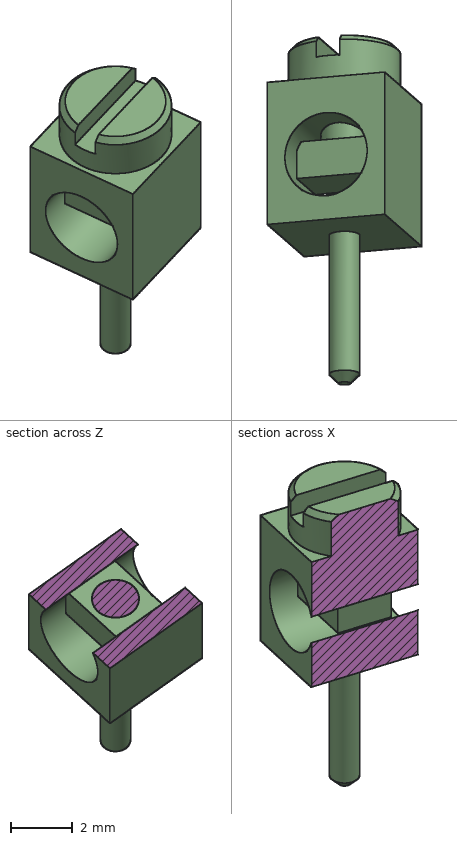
import cadquery as cq

total_height = 11.3
block_side = 4.0
block_height = 4.8
pin_length = 5.0
pin_diameter = 1.0
pin_tip_chamfer = 0.3
head_diameter = 3.65
head_chamfer = 0.19
slot_width = 0.79
slot_depth = 0.72
wire_hole_diameter = 2.8
wire_hole_height = 2.2
screw_diameter = 1.54
plate_width = 2.62
plate_depth = block_side / 2
plate_thickness = 1.23
plate_bottom_height = 1.76

block_bottom = pin_length
block_top = block_bottom + block_height
head_height = total_height - block_top
wire_hole_level = block_bottom + wire_hole_height
plate_bottom = block_bottom + plate_bottom_height
plate_top = plate_bottom + plate_thickness


def cylinder(diameter, bottom, height):
    """Upright cylinder on the Z axis."""
    return cq.Workplane("XY", origin=(0, 0, bottom)).circle(diameter / 2).extrude(height)


def box(width, depth, bottom, height):
    """Box centred on the Z axis."""
    return cq.Workplane("XY", origin=(0, 0, bottom)).rect(width, depth).extrude(height)


def terminal_block():
    """Square block with a round wire hole running through along Y."""
    wire_hole = (
        cq.Workplane("XZ", origin=(0, 0, wire_hole_level))
        .circle(wire_hole_diameter / 2)
        .extrude(block_side, both=True)
    )
    return box(block_side, block_side, block_bottom, block_height).cut(wire_hole)


def solder_pin():
    """Round pin with a tapered tip."""
    return cylinder(pin_diameter, 0, pin_length).faces("<Z").chamfer(pin_tip_chamfer)


def screw_head():
    """Chamfered head with a driver slot along Y."""
    head = cylinder(head_diameter, block_top, head_height).faces(">Z").chamfer(head_chamfer)
    slot = box(slot_width, head_diameter, total_height - slot_depth, slot_depth)
    return head.cut(slot)


def clamp():
    """Screw shank and the pressure plate that it holds inside the wire hole."""
    shank = cylinder(screw_diameter, plate_top, block_top - plate_top)
    plate = box(plate_width, plate_depth, plate_bottom, plate_thickness)
    return shank.union(plate)


result = terminal_block().union(solder_pin()).union(screw_head()).union(clamp())